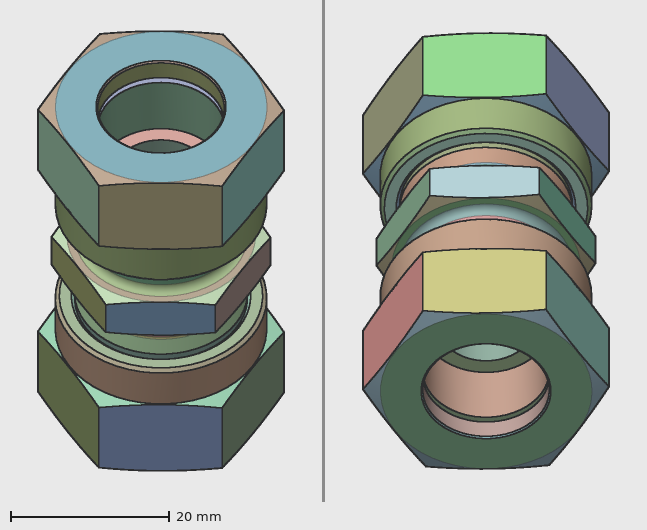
import cadquery as cq
import math

total_length = 52.0
mid_z = total_length / 2

nut_across_flats = 27.0
nut_hex_height = 12.0
nut_length = 18.0
nut_collar_dia = 26.8
collar_chamfer_radial = 0.5
collar_chamfer_axial = 0.4
nut_bore_dia = 16.0
nut_bore_chamfer = 0.2
nut_lip_depth = 2.85
thread_mouth_chamfer = 0.4

sleeve_dia = 18.6
sleeve_depth = 3.75
sleeve_length = 8.3

body_across_flats = 24.0
body_hex_height = 6.0
body_hex_chamfer_dia = 23.9
thread_dia = 21.9
thread_start_depth = 6.0
thread_end_depth = 18.5
neck_dia = 19.85
neck_fillet = 1.05
runout_fillet = 0.7
runout_angle = math.radians(28)
through_bore_dia = 12.0
tube_stop_depth = sleeve_depth + sleeve_length

hex_chamfer_angle = math.radians(15)


def revolve_profile(profile):
    """Turn a closed radius-height outline on the XZ plane about the Z axis."""
    return profile.close().revolve(360, (0, 0, 0), (0, 1, 0))


def cylinder(dia, z_low, z_high):
    return cq.Workplane("XY").workplane(offset=z_low).circle(dia / 2).extrude(z_high - z_low)


def chamfered_hexagon(across_flats, flat_dia, z_low, z_high):
    """Hexagonal prism with corners along Y and conical corner chamfers at both ends."""
    corner_radius = across_flats / math.sqrt(3)
    flat_radius = flat_dia / 2
    drop = (corner_radius - flat_radius) * math.tan(hex_chamfer_angle)
    prism = (
        cq.Workplane("XY")
        .workplane(offset=z_low)
        .polygon(6, 2 * corner_radius)
        .extrude(z_high - z_low)
        .rotate((0, 0, 0), (0, 0, 1), 30)
    )
    envelope = revolve_profile(
        cq.Workplane("XZ")
        .moveTo(0, z_low)
        .lineTo(flat_radius, z_low)
        .lineTo(corner_radius, z_low + drop)
        .lineTo(corner_radius, z_high - drop)
        .lineTo(flat_radius, z_high)
        .lineTo(0, z_high)
    )
    return prism.intersect(envelope)


def mirror_to_bottom(upper):
    return upper.mirror("XY", (0, 0, mid_z))


def make_nut():
    """Upper union nut: hexagon, round collar and stepped bore."""
    hex_bottom = total_length - nut_hex_height
    nut_bottom = total_length - nut_length
    collar_radius = nut_collar_dia / 2
    hexagon = chamfered_hexagon(nut_across_flats, nut_collar_dia, hex_bottom, total_length)
    collar = revolve_profile(
        cq.Workplane("XZ")
        .moveTo(0, nut_bottom)
        .lineTo(collar_radius - collar_chamfer_radial, nut_bottom)
        .lineTo(collar_radius, nut_bottom + collar_chamfer_axial)
        .lineTo(collar_radius, hex_bottom)
        .lineTo(0, hex_bottom)
    )
    bore_radius = nut_bore_dia / 2
    thread_radius = thread_dia / 2
    thread_top = total_length - thread_start_depth
    lip_bottom = total_length - nut_lip_depth
    cavity = revolve_profile(
        cq.Workplane("XZ")
        .moveTo(0, nut_bottom)
        .lineTo(thread_radius + thread_mouth_chamfer, nut_bottom)
        .lineTo(thread_radius, nut_bottom + thread_mouth_chamfer)
        .lineTo(thread_radius, thread_top)
        .lineTo(sleeve_dia / 2, thread_top)
        .lineTo(sleeve_dia / 2, lip_bottom)
        .lineTo(bore_radius, lip_bottom)
        .lineTo(bore_radius, total_length - nut_bore_chamfer)
        .lineTo(bore_radius + nut_bore_chamfer, total_length)
        .lineTo(0, total_length)
    )
    return hexagon.union(collar).cut(cavity)


def make_sleeve():
    """Upper sealing sleeve, from just below the nut lip down to the tube stop."""
    top = total_length - sleeve_depth
    bottom = top - sleeve_length
    return cylinder(sleeve_dia, bottom, top).cut(cylinder(nut_bore_dia, bottom, top))


def make_spigot():
    """Upper half of the turned body: filleted neck, conical runout and threaded end."""
    neck_radius = neck_dia / 2
    thread_radius = thread_dia / 2
    hex_top = mid_z + body_hex_height / 2
    thread_bottom = total_length - thread_end_depth
    thread_top = total_length - thread_start_depth

    foot_radius = neck_radius + runout_fillet * (1 - math.cos(runout_angle))
    foot_z = thread_bottom - (thread_radius - foot_radius) / math.tan(runout_angle)
    neck_top = foot_z - runout_fillet * math.sin(runout_angle)
    foot_mid = (
        neck_radius + runout_fillet * (1 - math.cos(runout_angle / 2)),
        neck_top + runout_fillet * math.sin(runout_angle / 2),
    )
    fillet_mid = (
        neck_radius + neck_fillet * (1 - math.sqrt(0.5)),
        hex_top + neck_fillet * (1 - math.sqrt(0.5)),
    )
    return revolve_profile(
        cq.Workplane("XZ")
        .moveTo(0, mid_z)
        .lineTo(neck_radius + neck_fillet, mid_z)
        .lineTo(neck_radius + neck_fillet, hex_top)
        .threePointArc(fillet_mid, (neck_radius, hex_top + neck_fillet))
        .lineTo(neck_radius, neck_top)
        .threePointArc(foot_mid, (foot_radius, foot_z))
        .lineTo(thread_radius, thread_bottom)
        .lineTo(thread_radius, thread_top)
        .lineTo(0, thread_top)
    )


def make_body():
    """Coupling body: central hexagon, two spigots, through bore and sleeve seats."""
    hexagon = chamfered_hexagon(
        body_across_flats,
        body_hex_chamfer_dia,
        mid_z - body_hex_height / 2,
        mid_z + body_hex_height / 2,
    )
    spigot = make_spigot()
    seat = cylinder(sleeve_dia, total_length - tube_stop_depth, total_length)
    return (
        hexagon.union(spigot)
        .union(mirror_to_bottom(spigot))
        .cut(cylinder(through_bore_dia, 0, total_length))
        .cut(seat)
        .cut(mirror_to_bottom(seat))
    )


body = make_body()
end_parts = []
for upper_part in (make_nut(), make_sleeve()):
    end_parts.append(upper_part.val())
    end_parts.append(mirror_to_bottom(upper_part).val())

result = cq.Compound.makeCompound([body.val(), *end_parts])